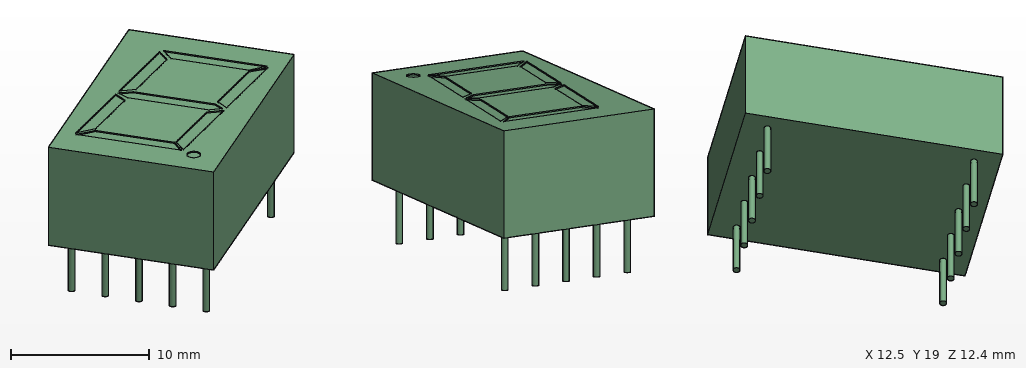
import cadquery as cq
import math


body_width = 12.5
body_length = 19.0
body_height = 8.0

pin_diameter = 0.5
pin_length = 4.4
pin_pitch = 2.55
pins_per_row = 5
row_spacing = 15.24

recess_depth = 0.1
slant = math.tan(math.radians(8))
stroke = 1.0
digit_outer_x = 4.08
digit_inner_x = digit_outer_x - stroke
digit_top = 7.2
digit_bottom = -7.01

dot_diameter = 1.0
dot_x = 4.07
dot_y = -7.37


def recess(upright_points):
    """Cutter for one segment, sheared from its upright outline."""
    points = [(x + slant * y, y) for x, y in upright_points]
    return (
        cq.Workplane("XY", origin=(0, 0, body_height - recess_depth))
        .polyline(points)
        .close()
        .extrude(recess_depth)
    )


def side_segment(side, outer_low, outer_high, inner_low, inner_high):
    """Upright stroke on the left (side = -1) or right (side = 1)."""
    outer_x = side * digit_outer_x
    inner_x = side * digit_inner_x
    return recess([(outer_x, outer_low), (outer_x, outer_high), (inner_x, inner_high), (inner_x, inner_low)])


def end_segment(outer_y, inner_y, outer_left, outer_right, inner_left, inner_right):
    """Horizontal stroke across the top or bottom of the digit."""
    return recess([(outer_left, outer_y), (outer_right, outer_y), (inner_right, inner_y), (inner_left, inner_y)])


def middle_segment(left_tip, right_tip):
    """Horizontal stroke with a pointed tip at each end."""
    half = stroke / 2
    return recess([
        (left_tip, 0),
        (-digit_inner_x, half),
        (digit_inner_x, half),
        (right_tip, 0),
        (digit_inner_x, -half),
        (-digit_inner_x, -half),
    ])


def pins():
    return (
        cq.Workplane("XY")
        .rarray(pin_pitch, row_spacing, pins_per_row, 2)
        .circle(pin_diameter / 2)
        .extrude(-pin_length)
    )


def decimal_point():
    return (
        cq.Workplane("XY", origin=(dot_x, dot_y, body_height - recess_depth))
        .circle(dot_diameter / 2)
        .extrude(recess_depth)
    )


body = cq.Workplane("XY").box(body_width, body_length, body_height, centered=(True, True, False))

recesses = [
    end_segment(digit_top, digit_top - stroke, -3.9, 3.93, -2.87, 3.0),
    end_segment(digit_bottom, digit_bottom + stroke, -3.95, 3.99, -2.96, 3.0),
    middle_segment(-4.0, 3.88),
    side_segment(-1, outer_low=0.28, outer_high=6.94, inner_low=0.9, inner_high=5.98),
    side_segment(1, outer_low=0.2, outer_high=7.0, inner_low=0.91, inner_high=6.1),
    side_segment(-1, outer_low=-6.8, outer_high=-0.25, inner_low=-5.75, inner_high=-0.91),
    side_segment(1, outer_low=-6.88, outer_high=-0.25, inner_low=-5.89, inner_high=-0.85),
    decimal_point(),
]

result = body.union(pins())
for cutter in recesses:
    result = result.cut(cutter)